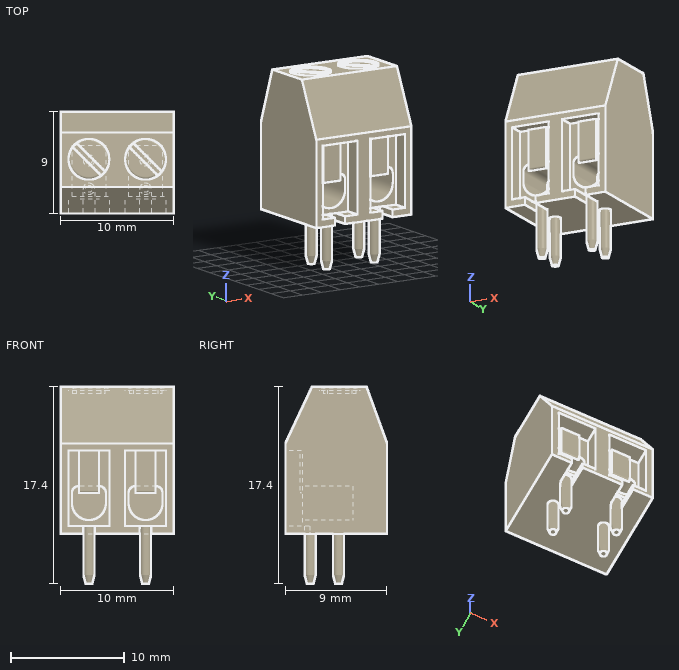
import cadquery as cq


poles = 2
pitch = 5.0
housing_width = poles * pitch
housing_depth = 9.0
housing_height = 13.0
shoulder_height = 8.0
front_slope_run = 2.35
rear_slope_run = 1.82

pocket_width = 3.64
pocket_floor = 0.7
pocket_top = 7.37
pocket_depth = 1.5

wire_hole_width = 3.0
wire_hole_bottom = 1.22
wire_hole_height = 3.0
wire_hole_corner_radius = 0.6
wire_hole_depth = 4.5

leaf_width = 1.78
leaf_thickness = 0.2
leaf_bottom = 3.6
leaf_end_radius = 0.19

pin_diameter = 1.0
pin_length = 4.4
pin_tip_length = 0.77
pin_tip_diameter = 0.6
front_pin_y = 2.2
pin_spacing = 2.5
slot_width = 1.06
slot_depth = front_pin_y

screw_y = 4.8
screw_radius = 1.8
screw_recess = 0.1
screw_edge_radius = 0.25
screw_slot_width = 0.5
screw_slot_depth = 0.5
screw_slot_angle = -45.0

pole_positions = [(index - (poles - 1) / 2) * pitch for index in range(poles)]


def box_between(x_center, width, y_start, y_end, z_start, z_end):
    """Box centred on x_center and spanning the given Y and Z ranges."""
    return (
        cq.Workplane("XY", origin=(x_center, y_start, z_start))
        .box(width, y_end - y_start, z_end - z_start, centered=(True, False, False))
    )


def make_housing():
    """Block whose front and rear faces slope inward above the shoulder."""
    return (
        cq.Workplane("YZ")
        .moveTo(0, 0)
        .lineTo(housing_depth, 0)
        .lineTo(housing_depth, shoulder_height)
        .lineTo(housing_depth - rear_slope_run, housing_height)
        .lineTo(front_slope_run, housing_height)
        .lineTo(0, shoulder_height)
        .close()
        .extrude(housing_width / 2, both=True)
    )


def make_wire_hole(x_center):
    """Blind hole with a half-round bottom and rounded upper corners."""
    height_center = wire_hole_bottom + wire_hole_height / 2
    half_width = wire_hole_width / 2
    top = wire_hole_bottom + wire_hole_height
    profile = (
        cq.Workplane("XZ", origin=(x_center, pocket_depth, 0))
        .moveTo(-half_width, height_center)
        .threePointArc((0, wire_hole_bottom), (half_width, height_center))
        .lineTo(half_width, top)
        .lineTo(-half_width, top)
        .close()
    )
    hole = profile.extrude(-wire_hole_depth)
    return hole.edges("|Y and >Z").fillet(wire_hole_corner_radius)


def make_leaf(x_center):
    """Flat leaf in front of the clamp, rounded at its lower front edge."""
    front = pocket_depth - leaf_thickness
    leaf = box_between(x_center, leaf_width, front, pocket_depth, leaf_bottom, pocket_top)
    return leaf.edges("|X and <Z and <Y").fillet(leaf_end_radius)


def make_pin(x_center, y_center):
    """Round pin with a tapered tip, reaching up to the pocket floor level."""
    radius = pin_diameter / 2
    return (
        cq.Workplane("XZ")
        .moveTo(0, pocket_floor)
        .lineTo(radius, pocket_floor)
        .lineTo(radius, pin_tip_length - pin_length)
        .lineTo(pin_tip_diameter / 2, -pin_length)
        .lineTo(0, -pin_length)
        .close()
        .revolve(360, (0, 0, 0), (0, 1, 0))
        .translate((x_center, y_center, 0))
    )


def make_screw_cut(x_center):
    """Space above a sunk, round-rimmed screw head, with its driver slot."""
    cut_depth = screw_recess + screw_slot_depth
    bore = cq.Workplane("XY").circle(screw_radius).extrude(-cut_depth)
    head = (
        cq.Workplane("XY", origin=(0, 0, -cut_depth))
        .circle(screw_radius)
        .extrude(screw_slot_depth)
        .faces(">Z")
        .edges()
        .fillet(screw_edge_radius)
    )
    driver_slot = (
        cq.Workplane("XY")
        .rect(2 * screw_radius, screw_slot_width)
        .extrude(-cut_depth)
        .rotate((0, 0, 0), (0, 0, 1), screw_slot_angle)
    )
    return bore.cut(head.cut(driver_slot)).translate((x_center, screw_y, housing_height))


def cut_wire_entry(body, x_center):
    """Pocket in the front face, the clamp hole behind it and the pin slot below it."""
    pocket = box_between(x_center, pocket_width, 0, pocket_depth, pocket_floor, pocket_top)
    pin_slot = box_between(x_center, slot_width, 0, slot_depth, 0, pocket_floor)
    return body.cut(pocket).cut(make_wire_hole(x_center)).cut(pin_slot)


block = make_housing()
for x in pole_positions:
    block = cut_wire_entry(block, x)
    block = block.cut(make_screw_cut(x))
    block = block.union(make_leaf(x))
    for y in (front_pin_y, front_pin_y + pin_spacing):
        block = block.union(make_pin(x, y))

result = cq.Workplane(block.solids().val())